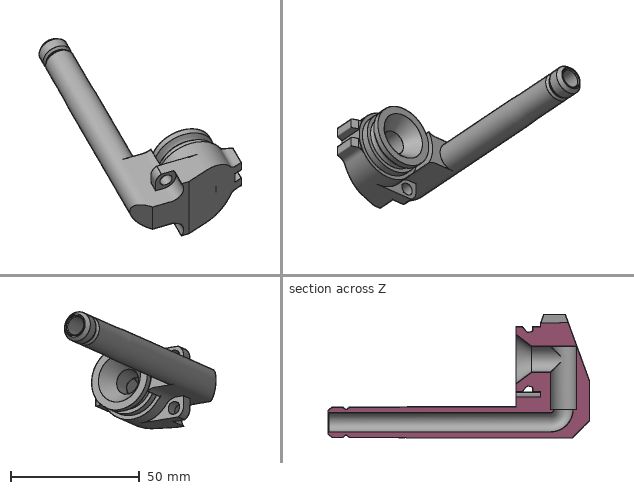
import cadquery as cq
import math

pipe_radius = 6.1
spigot_radius = 5.9
bore_radius = 3.7
mouth_radius = 4.1
mouth_chamfer = 0.4
total_length = 101.6
tip_chamfer_length = 1.6
tip_radius = 4.6
ring_groove_start = 5.9
ring_groove_end = 8.3
ring_groove_radius = 5.1
ring_groove_floor_width = 0.4
spigot_end = 25.6
taper_end = 31.7
pipe_end_chamfer = 6.8

head_y = 24.5
head_radius = 14.27
head_start = 82.5
neck_start = 72.9
neck_radius = 12.7
neck_groove_radius = 10.6
neck_groove_start = 75.5
neck_groove_curve_start = 76.5
neck_groove_floor_start = 77.4
neck_groove_floor_end = 77.9
neck_groove_end = 79.5
neck_groove_flank_radius = 11.4
neck_groove_shoulder_radius = 11.1
slope_foot_y = 16.0
slope_top_x = 92.2
head_top_y = 41.9

web_fillet_y = 8.4
neck_clearance_radius = 14.6

lug_start = 89.0
lug_end = 93.8
lug_corner_radius = 4.4
hole_y = 9.5
hole_z = 10.4
hole_radius = 2.5
scallop_radius = 5.2
scallop_y = 8.5

prong_start = head_start + 0.2
prong_inner_z = 2.2
prong_outer_z = 6.3
prong_fillet_y = 39.0
prong_bevel = 1.0
prong_edge_radius = 0.4

funnel_radius = 9.5
passage_radius = 5.0
funnel_depth = 6.1
passage_x = 91.4
bend_radius = 5.1


def rod(radius, start, end, y=0.0, z=0.0):
    """Cylinder along X."""
    return cq.Workplane("YZ", origin=(start, y, z)).circle(radius).extrude(end - start)


def block(x_range, y_range, z_range):
    """Box between pairs of limits."""
    sizes = [high - low for low, high in (x_range, y_range, z_range)]
    corner = (x_range[0], y_range[0], z_range[0])
    return cq.Workplane("XY", origin=corner).box(*sizes, centered=False)


def head_blend(edge_y, edge_z, start, end):
    """Gusset with an arc tangent to the plane z = edge_z at edge_y and to the round head."""
    offset = edge_y - head_y
    blend_radius = (offset**2 + edge_z**2 - head_radius**2) / (2 * (head_radius - edge_z))
    centre_z = edge_z + blend_radius
    centre_distance = head_radius + blend_radius
    touch_y = head_y + offset * head_radius / centre_distance
    touch_z = centre_z * head_radius / centre_distance
    mid_y = (edge_y + touch_y) / 2 - edge_y
    mid_z = (edge_z + touch_z) / 2 - centre_z
    mid_scale = blend_radius / math.hypot(mid_y, mid_z)
    arc_middle = (edge_y + mid_y * mid_scale, centre_z + mid_z * mid_scale)
    return (
        cq.Workplane("YZ", origin=(start, 0, 0))
        .moveTo(edge_y, edge_z)
        .threePointArc(arc_middle, (touch_y, touch_z))
        .lineTo(head_y, 0)
        .lineTo(edge_y, 0)
        .close()
        .extrude(end - start)
    )


def make_pipe():
    floor_start = (ring_groove_start + ring_groove_end - ring_groove_floor_width) / 2
    profile = (
        cq.Workplane("XY")
        .lineTo(0, tip_radius)
        .lineTo(tip_chamfer_length, spigot_radius)
        .lineTo(ring_groove_start, spigot_radius)
        .lineTo(floor_start, ring_groove_radius)
        .lineTo(floor_start + ring_groove_floor_width, ring_groove_radius)
        .lineTo(ring_groove_end, spigot_radius)
        .lineTo(spigot_end, spigot_radius)
        .lineTo(taper_end, pipe_radius)
        .lineTo(total_length, pipe_radius)
        .lineTo(total_length, 0)
        .close()
    )
    return profile.revolve(360, (0, 0, 0), (1, 0, 0))


def make_web():
    web = block((neck_start, total_length), (0, head_y), (-pipe_radius, pipe_radius))
    upper = head_blend(web_fillet_y, pipe_radius, neck_start, lug_end)
    web = web.union(upper).union(upper.mirror("XY"))
    return web.cut(rod(neck_clearance_radius, neck_start, head_start, head_y))


def make_neck():
    profile = (
        cq.Workplane("XY")
        .moveTo(neck_start, 0)
        .lineTo(neck_start, neck_radius)
        .lineTo(neck_groove_start, neck_radius)
        .lineTo(neck_groove_curve_start, neck_groove_flank_radius)
        .tangentArcPoint((neck_groove_floor_start, neck_groove_radius), relative=False)
        .lineTo(neck_groove_floor_end, neck_groove_radius)
        .tangentArcPoint((neck_groove_end, neck_groove_shoulder_radius), relative=False)
        .lineTo(neck_groove_end, neck_radius)
        .lineTo(head_start, neck_radius)
        .lineTo(head_start, 0)
        .close()
    )
    return profile.revolve(360, (0, 0, 0), (1, 0, 0)).translate((0, head_y, 0))


def make_lugs():
    envelope = block((lug_start, total_length), (0, head_y), (-head_radius, head_radius))
    lugs = block((lug_start, total_length), (hole_y, head_y), (-head_radius, head_radius))
    lug_foot = block((lug_start, total_length), (hole_y - lug_corner_radius, head_y), (-hole_z, hole_z))
    lugs = lugs.union(lug_foot)
    for side in (-1, 1):
        corner = rod(lug_corner_radius, lug_start, total_length, hole_y, side * hole_z)
        lugs = lugs.union(corner.intersect(envelope))
    for side in (-1, 1):
        scallop_z = side * (pipe_radius + scallop_radius)
        scallop = rod(scallop_radius, lug_end, total_length, scallop_y, scallop_z)
        below_scallop = block(
            (lug_end, total_length),
            (0, scallop_y),
            sorted((side * pipe_radius, side * 2 * head_radius)),
        )
        hole = rod(hole_radius, lug_start, lug_end, hole_y, side * hole_z)
        lugs = lugs.cut(scallop).cut(below_scallop).cut(hole)
    return lugs


def make_prong():
    prong = block((prong_start, total_length), (head_y, head_top_y), (prong_inner_z, prong_outer_z))
    prong = prong.edges("|X and >Y").fillet(prong_edge_radius)
    bevel = (
        cq.Workplane("XY")
        .moveTo(prong_start, prong_fillet_y)
        .lineTo(prong_start, head_top_y)
        .lineTo(prong_start + prong_bevel, head_top_y)
        .close()
        .extrude(prong_outer_z)
    )
    gusset = head_blend(prong_fillet_y, prong_outer_z, prong_start, total_length)
    gap = block((prong_start, total_length), (head_y, head_top_y), (0, prong_inner_z))
    return prong.cut(bevel).union(gusset.cut(gap))


def make_slope_cut():
    return (
        cq.Workplane("XY", origin=(0, 0, -head_radius))
        .moveTo(total_length, slope_foot_y)
        .lineTo(slope_top_x, head_top_y)
        .lineTo(total_length, head_top_y)
        .close()
        .extrude(2 * head_radius)
    )


def make_pipe_end_cut():
    return (
        cq.Workplane("XY", origin=(0, 0, -pipe_radius))
        .moveTo(total_length - pipe_end_chamfer, -pipe_radius)
        .lineTo(total_length, -pipe_radius)
        .lineTo(total_length, pipe_end_chamfer - pipe_radius)
        .close()
        .extrude(2 * pipe_radius)
    )


def make_passages():
    """Pipe bore, cross passage along Y and funnel, joined inside the part."""
    bend_start = passage_x - bend_radius
    pipe_bore = (
        cq.Workplane("XY")
        .lineTo(0, mouth_radius)
        .lineTo(mouth_chamfer, bore_radius)
        .lineTo(bend_start, bore_radius)
        .lineTo(bend_start, 0)
        .close()
        .revolve(360, (0, 0, 0), (1, 0, 0))
    )
    elbow = (
        cq.Workplane("YZ", origin=(bend_start, 0, 0))
        .circle(bore_radius)
        .revolve(90, (bend_radius, 0, 0), (bend_radius, 1, 0))
    )
    funnel = (
        cq.Workplane("XY")
        .moveTo(neck_start, 0)
        .lineTo(neck_start, funnel_radius)
        .lineTo(neck_start + funnel_depth, passage_radius)
        .lineTo(passage_x, passage_radius)
        .lineTo(passage_x, 0)
        .close()
        .revolve(360, (0, 0, 0), (1, 0, 0))
        .translate((0, head_y, 0))
    )
    cross = (
        cq.Workplane("XZ", origin=(passage_x, bend_radius, 0))
        .circle(passage_radius)
        .extrude(-(head_y + passage_radius - bend_radius))
    )
    return pipe_bore.union(elbow).union(cross).union(funnel)


head = rod(head_radius, head_start, total_length, head_y)
prong = make_prong()
result = make_pipe().union(make_web()).union(head).union(make_neck()).union(make_lugs())
result = result.union(prong).union(prong.mirror("XY"))
result = result.cut(make_slope_cut()).cut(make_pipe_end_cut()).cut(make_passages())